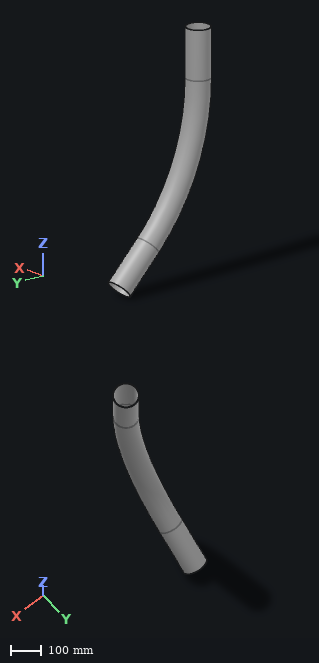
import cadquery as cq
import math

overall_height = 874.0
outer_diameter = 89.0
inner_diameter = 83.0
bend_radius = 762.0
bend_angle = math.radians(45)

outer_radius = outer_diameter / 2
bend_sine = math.sin(bend_angle)
bend_cosine = math.cos(bend_angle)

bend_height = bend_radius * bend_sine
rim_drop = outer_radius * bend_sine
straight_length = (overall_height - bend_height - rim_drop) / (1 + bend_cosine)


def bend_point(angle):
    """Centreline point (Y, Z) after turning by angle; the bend starts at the origin."""
    return (bend_radius * (1 - math.cos(angle)), -bend_radius * math.sin(angle))


bend_middle = bend_point(bend_angle / 2)
bend_end = bend_point(bend_angle)
lower_end = (
    bend_end[0] + straight_length * bend_sine,
    bend_end[1] - straight_length * bend_cosine,
)
centreline = (
    cq.Workplane("YZ")
    .moveTo(0, straight_length)
    .lineTo(0, 0)
    .threePointArc(bend_middle, bend_end)
    .lineTo(*lower_end)
)

result = (
    cq.Workplane("XY", origin=(0, 0, straight_length))
    .circle(outer_radius)
    .circle(inner_diameter / 2)
    .sweep(centreline)
)